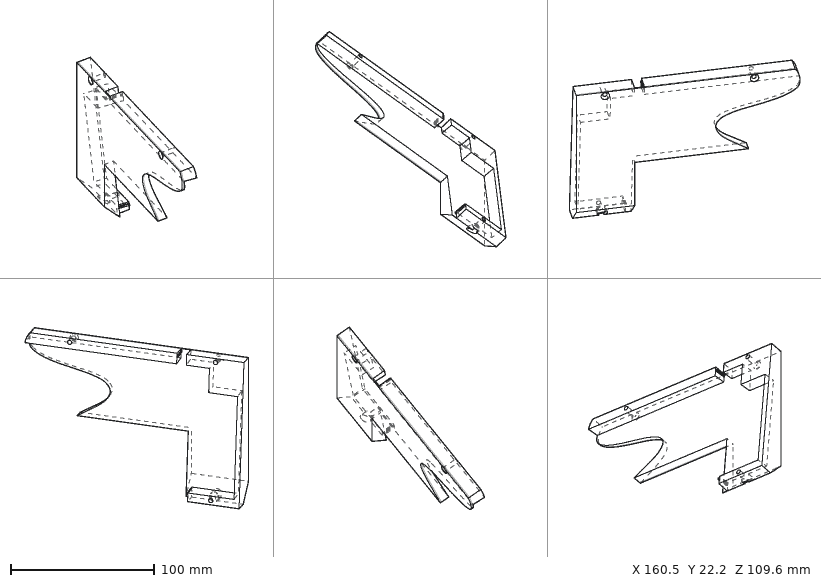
import cadquery as cq
import math

LENGTH = 160.5
HEIGHT = 109.6
DEPTH = 22.2
LEAN = math.radians(6)
SLOPE = math.tan(LEAN)
TOP_DEPTH = 10.8
SKIN = 1.0
FRONT_TOP = HEIGHT - (TOP_DEPTH - SKIN) * SLOPE
BEVEL = 12.2
BACK_FOOT_Z = (DEPTH - BEVEL) * SLOPE

LEG_WIDTH = 42.0
ARM_BOTTOM = 47.7
TOP_END_X = 157.0
TIP_X = 123.6
NOSE_Z = 99.2

SIDE_WALL = 3.9
TOP_RIB = 7.9
ARM_RIB_START = 49.1
CORNER_WIDTH = 25.0
CORNER_HEIGHT = 25.8
FOOT_WALL_WIDTH = 37.9
FOOT_WALL_TOP = 7.5

ARM_RIDGE = 0.5
FOOT_RIDGE = 1.0
RIDGE_HEIGHT = 1.3
ARM_RIDGE_TOP = FRONT_TOP - 1.1
FOOT_RIDGE_TOP = FOOT_WALL_TOP - 1.1

HOLE_D = 3.0
HEAD_D = 6.1
FOOT_ENTRY_D = 7.2
UPPER_HOLE_Z = 105.5
FOOT_HOLE_Z = 2.0
FOOT_SEAT = 13.6
LEFT_HOLE_X = 20.9
RIGHT_HOLE_X = 127.8

BACK_NORMAL = cq.Vector(0, math.cos(LEAN), math.sin(LEAN))
MARGIN = 8.0


def box(x0, x1, y0, y1, z0, z1):
    return cq.Workplane("XY").box(x1 - x0, y1 - y0, z1 - z0, centered=False).translate((x0, y0, z0))


def side_prism(points):
    return cq.Workplane("YZ").polyline(points).close().extrude(LENGTH + MARGIN)


def make_wedge():
    return side_prism([
        (0, BEVEL), (0, FRONT_TOP), (SKIN, FRONT_TOP), (TOP_DEPTH, HEIGHT),
        (DEPTH, BACK_FOOT_Z), (BEVEL, 0),
    ])


def make_plate():
    """Front plate whose rear face is parallel to the leaning back."""
    return side_prism([(0, 0), (0, FRONT_TOP), (SKIN, FRONT_TOP), (SKIN + FRONT_TOP * SLOPE, 0)])


def make_outline():
    """Leg, arm and curved end: straight through the skin, then square to the back."""
    below = -MARGIN
    above = HEIGHT + MARGIN
    wire = (
        cq.Workplane("XZ")
        .moveTo(0, above).lineTo(0, below).lineTo(LEG_WIDTH, below)
        .lineTo(LEG_WIDTH, ARM_BOTTOM).lineTo(TIP_X, ARM_BOTTOM)
        .spline([(115.5, 53.0), (107.4, 58.3), (101.3, 64.9), (100.0, 69.2), (101.8, 73.7), (109.2, 78.3),
                 (127.6, 82.8), (144.5, 86.5), (156.7, 92.0), (LENGTH, NOSE_Z)],
                tangents=[(-1, 0.65), (0, 1)], includeCurrent=True)
        .spline([(159.4, 104.7), (TOP_END_X, FRONT_TOP)], includeCurrent=True)
        .lineTo(TOP_END_X, above).close().val()
    )
    skin = cq.Solid.extrudeLinear(wire, [], cq.Vector(0, SKIN, 0))
    rear = cq.Solid.extrudeLinear(wire, [], BACK_NORMAL * (DEPTH + MARGIN)).translate(cq.Vector(0, SKIN, 0))
    return cq.Workplane(skin).union(cq.Workplane(rear))


def make_ribs():
    far = DEPTH + MARGIN
    return (
        box(0, LEG_WIDTH, 0, far, HEIGHT - TOP_RIB, HEIGHT)
        .union(box(ARM_RIB_START, LENGTH, 0, far, HEIGHT - TOP_RIB, HEIGHT))
        .union(box(0, CORNER_WIDTH, 0, far, HEIGHT - CORNER_HEIGHT, HEIGHT))
        .union(box(0, SIDE_WALL, 0, far, 0, HEIGHT))
        .union(box(0, FOOT_WALL_WIDTH, 0, far, 0, FOOT_WALL_TOP))
    )


def make_ridges():
    arm = box(ARM_RIB_START - ARM_RIDGE, ARM_RIB_START, 0, TOP_DEPTH,
              ARM_RIDGE_TOP - RIDGE_HEIGHT, ARM_RIDGE_TOP)
    foot = box(FOOT_WALL_WIDTH, FOOT_WALL_WIDTH + FOOT_RIDGE, 0, DEPTH,
               FOOT_RIDGE_TOP - RIDGE_HEIGHT, FOOT_RIDGE_TOP)
    return arm.union(foot)


def make_hole(x, z, entry_d, seat_depth):
    """Screw hole with a 90 degree countersink starting seat_depth behind the front."""
    start = cq.Vector(x, 0, z)
    seat = start + BACK_NORMAL * seat_depth
    sink = (HEAD_D - HOLE_D) / 2
    bore = cq.Solid.makeCylinder(HOLE_D / 2, DEPTH + MARGIN, start, BACK_NORMAL)
    cone = cq.Solid.makeCone(HEAD_D / 2, HOLE_D / 2, sink, seat, BACK_NORMAL)
    entry = cq.Solid.makeCylinder(
        entry_d / 2, seat_depth + MARGIN, start - BACK_NORMAL * MARGIN, BACK_NORMAL)
    return cq.Workplane(bore).union(cq.Workplane(cone)).union(cq.Workplane(entry))


result = (
    make_plate().union(make_ribs()).union(make_ridges())
    .intersect(make_wedge()).intersect(make_outline())
    .cut(make_hole(LEFT_HOLE_X, UPPER_HOLE_Z, HEAD_D, 0))
    .cut(make_hole(RIGHT_HOLE_X, UPPER_HOLE_Z, HEAD_D, 0))
    .cut(make_hole(LEFT_HOLE_X, FOOT_HOLE_Z, FOOT_ENTRY_D, FOOT_SEAT))
)